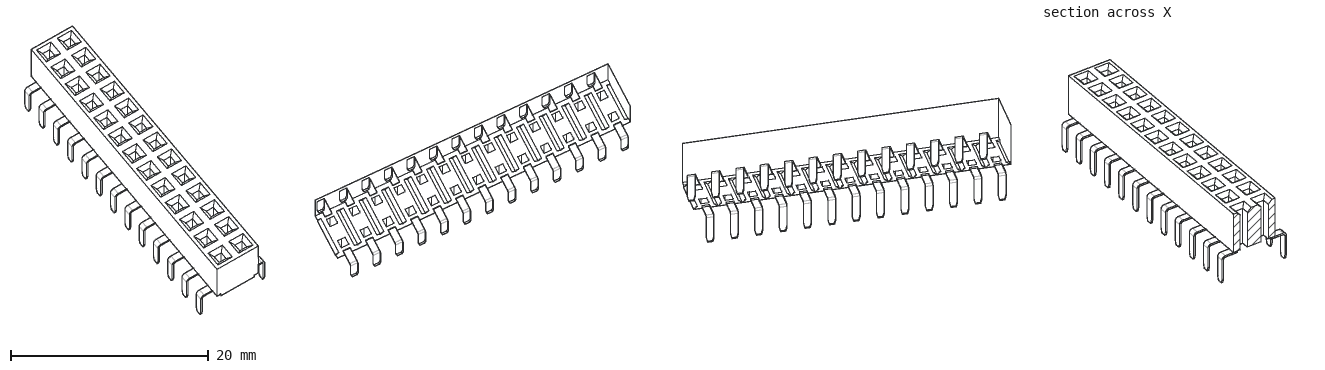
import cadquery as cq

PITCH = 2.54
COLUMNS = 13
ROWS = 2

TOTAL_WIDTH = 7.87
TOTAL_HEIGHT = 8.0
BODY_LENGTH = COLUMNS * PITCH
BODY_WIDTH = ROWS * PITCH
BODY_TOP = 5.05

RIDGE_HEIGHT = 0.3
RIDGE_BASE = 0.8
RIDGE_LENGTH = 4.1

SOCKET_MOUTH = 1.75
SOCKET_HOLE = 0.85
LEAD_IN_DEPTH = (SOCKET_MOUTH - SOCKET_HOLE) / 2

PIN_WIDTH = 0.8
PIN_THICKNESS = 0.2
PIN_EMBED = 0.01
PIN_BEND_RADIUS = 0.4
PIN_TIP_WIDTH = 0.54
PIN_TIP_LENGTH = 0.5

BODY_BOTTOM = RIDGE_HEIGHT
PIN_TOP = BODY_BOTTOM + PIN_EMBED
PIN_BOTTOM = BODY_TOP - TOTAL_HEIGHT
PIN_OUTER_Y = TOTAL_WIDTH / 2
PIN_INNER_Y = RIDGE_LENGTH / 2

column_xs = [(i - (COLUMNS - 1) / 2) * PITCH for i in range(COLUMNS)]
row_ys = [(i - (ROWS - 1) / 2) * PITCH for i in range(ROWS)]
boundary_xs = [(i - COLUMNS / 2) * PITCH for i in range(COLUMNS + 1)]


def make_block():
    height = BODY_TOP - BODY_BOTTOM
    return (
        cq.Workplane("XY")
        .workplane(offset=BODY_BOTTOM)
        .box(BODY_LENGTH, BODY_WIDTH, height, centered=(True, True, False))
    )


def make_ridges():
    """V ridges along Y at every column boundary; the two end ridges are cut in half by the end faces."""
    ridges = cq.Workplane("XY")
    for x in boundary_xs:
        left = max(x - RIDGE_BASE / 2, -BODY_LENGTH / 2)
        right = min(x + RIDGE_BASE / 2, BODY_LENGTH / 2)
        ridge = (
            cq.Workplane("XZ")
            .polyline([(left, BODY_BOTTOM), (x, 0), (right, BODY_BOTTOM)])
            .close()
            .extrude(RIDGE_LENGTH / 2, both=True)
        )
        ridges = ridges.add(ridge)
    return ridges


def make_sockets():
    """Cutting tools for all sockets: lead-in frustum plus straight hole."""
    centers = [(x, y) for x in column_xs for y in row_ys]
    holes = (
        cq.Workplane("XY")
        .workplane(offset=BODY_BOTTOM)
        .pushPoints(centers)
        .rect(SOCKET_HOLE, SOCKET_HOLE)
        .extrude(BODY_TOP - BODY_BOTTOM)
    )
    lead_in = (
        cq.Workplane("XY")
        .workplane(offset=BODY_TOP)
        .rect(SOCKET_MOUTH, SOCKET_MOUTH)
        .workplane(offset=-LEAD_IN_DEPTH)
        .rect(SOCKET_HOLE, SOCKET_HOLE)
        .loft(ruled=True)
        .val()
    )
    lead_ins = [lead_in.translate(cq.Vector(x, y, 0)) for x, y in centers]
    return holes.add(cq.Workplane("XY").newObject(lead_ins))


def make_pin():
    """One terminal at X = 0 on the +Y side, bent down and tapered at its tip."""
    profile = (
        cq.Workplane("YZ")
        .moveTo(PIN_INNER_Y, PIN_TOP)
        .lineTo(PIN_OUTER_Y, PIN_TOP)
        .lineTo(PIN_OUTER_Y, PIN_BOTTOM)
        .lineTo(PIN_OUTER_Y - PIN_THICKNESS, PIN_BOTTOM)
        .lineTo(PIN_OUTER_Y - PIN_THICKNESS, PIN_TOP - PIN_THICKNESS)
        .lineTo(PIN_INNER_Y, PIN_TOP - PIN_THICKNESS)
        .close()
        .extrude(PIN_WIDTH / 2, both=True)
    )
    outer_corner = cq.selectors.NearestToPointSelector((0, PIN_OUTER_Y, PIN_TOP))
    inner_corner = cq.selectors.NearestToPointSelector(
        (0, PIN_OUTER_Y - PIN_THICKNESS, PIN_TOP - PIN_THICKNESS)
    )
    bent = (
        profile.edges("|X").edges(inner_corner).fillet(PIN_BEND_RADIUS - PIN_THICKNESS)
        .edges("|X").edges(outer_corner).fillet(PIN_BEND_RADIUS)
    )
    tapered_outline = (
        cq.Workplane("XZ")
        .polyline([
            (-PIN_WIDTH / 2, PIN_TOP),
            (PIN_WIDTH / 2, PIN_TOP),
            (PIN_WIDTH / 2, PIN_BOTTOM + PIN_TIP_LENGTH),
            (PIN_TIP_WIDTH / 2, PIN_BOTTOM),
            (-PIN_TIP_WIDTH / 2, PIN_BOTTOM),
            (-PIN_WIDTH / 2, PIN_BOTTOM + PIN_TIP_LENGTH),
        ])
        .close()
        .extrude(-PIN_OUTER_Y)
    )
    return bent.intersect(tapered_outline)


def make_pins():
    """Terminals of every column on both long sides."""
    back_pin = make_pin().val()
    front_pin = back_pin.mirror("XZ")
    pins = [pin.translate(cq.Vector(x, 0, 0)) for pin in (back_pin, front_pin) for x in column_xs]
    return cq.Workplane("XY").newObject(pins)


def fuse(base, parts):
    return cq.Workplane("XY").newObject([base.val().fuse(*parts.vals())])


def cut(base, tools):
    return cq.Workplane("XY").newObject([base.val().cut(*tools.vals())])


body = cut(make_block(), make_sockets())
body = fuse(body, make_ridges())
body = fuse(body, make_pins())
result = body.clean()